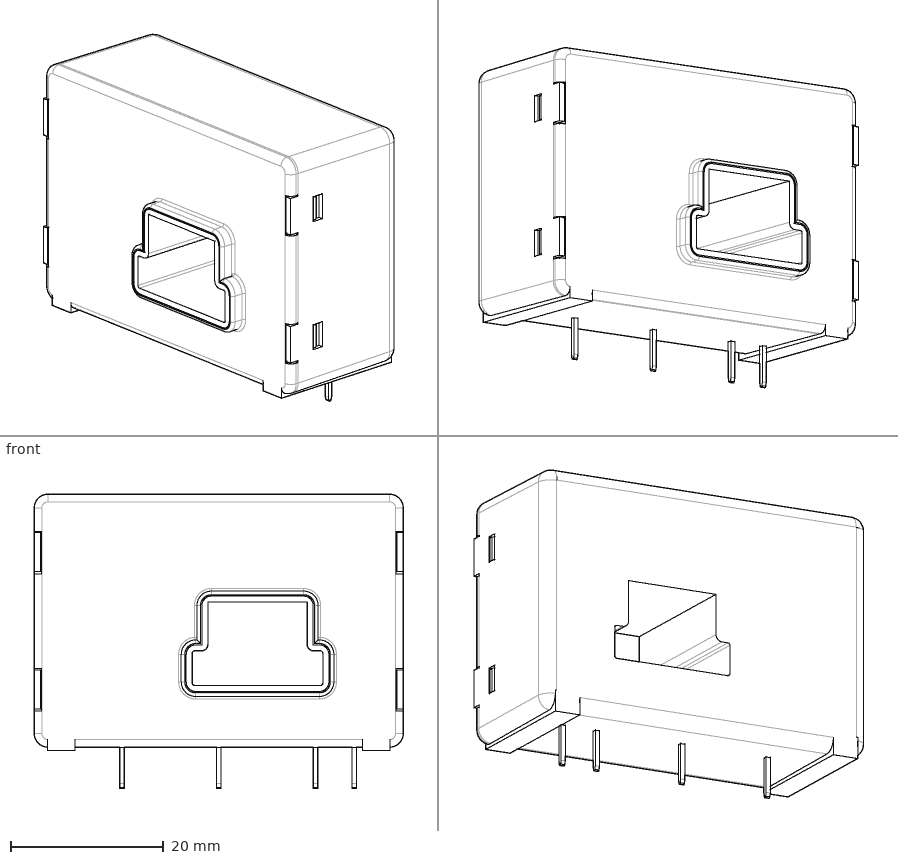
import cadquery as cq

WIDTH = 48.4
BLOCK_HEIGHT = 33.2
DEPTH = 19.4
FOOT_DROP = 0.45
MID_Z = FOOT_DROP + BLOCK_HEIGHT / 2
CORNER_RADIUS = 1.85
BACK_ROUND = 1.8
FRONT_ROUND = 1.0
COVER_BAND = 1.35
DRAFT_ANGLE = 0.5

FOOT_OUTER_X = 22.45
FOOT_WIDTH = 3.65
FOOT_HEIGHT = 2.9

COLLAR_X = 5.1
COLLAR_LENGTH = 2.0
COLLAR_BOTTOM = 7.1
COLLAR_STEP = 14.55
COLLAR_TOP = 20.9
COLLAR_LOWER_WIDTH = 20.0
COLLAR_UPPER_WIDTH = 15.9
COLLAR_RADIUS = 1.9
COLLAR_TIP_ROUND = 0.45
COLLAR_BASE_ROUND = 0.35

WINDOW_INSET = 1.45
WINDOW_STEP_RADIUS = 0.85
WINDOW_CORNER_RADIUS = 0.3
GROOVE_INSET = 0.5
GAP = 0.17

LATCH_SPACING = 18.0
TAB_HEIGHT = 5.15
TAB_THICKNESS = 0.8
GAP_ABOVE_TAB = 0.15
GAP_BELOW_TAB = 0.3
SLOT_HEIGHT = 3.5
SLOT_FRONT_Y = 4.1
SLOT_LENGTH = 1.55
SLOT_DEPTH = 0.7
BARB_RECESS = 0.2
BARB_FLAT = 0.6
BARB_END_GAP = 0.15

PIN_XS = (-12.7, 0.0, 12.7, 17.75)
PIN_Y = 12.5
PIN_SIZE = 0.65
PIN_TIP_Z = -4.95
PIN_TOP_Z = 2.9
PIN_TIP_LENGTH = 0.65
PIN_SHOULDER_LENGTH = 0.15
PIN_SHOULDER_WIDTH = 0.4
PIN_END_WIDTH = 0.15


def box(x_range, y_range, z_range):
    """Plain box between the given limits."""
    lengths = [limits[1] - limits[0] for limits in (x_range, y_range, z_range)]
    corner = (x_range[0], y_range[0], z_range[0])
    return cq.Workplane("XY").box(*lengths, centered=False).translate(corner)


def stepped_prism(inset, y_front, y_back, radius=0.0):
    """Prism along Y of the collar outline moved inwards by inset."""
    lower_half = COLLAR_LOWER_WIDTH / 2 - inset
    upper_half = COLLAR_UPPER_WIDTH / 2 - inset
    bottom = COLLAR_BOTTOM + inset
    step = COLLAR_STEP - inset
    top = COLLAR_TOP - inset
    lower = box((COLLAR_X - lower_half, COLLAR_X + lower_half), (y_front, y_back), (bottom, step))
    upper = box((COLLAR_X - upper_half, COLLAR_X + upper_half), (y_front, y_back), (bottom + radius, top))
    if radius > 0:
        lower = lower.edges("|Y").fillet(radius)
        upper = upper.edges("|Y and >Z").fillet(radius)
    return lower.union(upper)


def drafted_block():
    """Sharp-edged block that narrows from the front face to the back."""
    front = cq.Plane(origin=(0, 0, MID_Z), xDir=(1, 0, 0), normal=(0, 1, 0))
    return cq.Workplane(front).rect(WIDTH, BLOCK_HEIGHT).extrude(DEPTH, taper=DRAFT_ANGLE)


def make_block():
    """Drafted shell closed at the front by a straight band, rounded all over."""
    shell = drafted_block().edges("not(<Y or >Y)").fillet(CORNER_RADIUS)
    shell = shell.faces(">Y").edges().fillet(BACK_ROUND)
    front_slice = box((-WIDTH, WIDTH), (0, COVER_BAND), (-WIDTH, WIDTH))
    shell = shell.cut(front_slice)
    block = shell.faces("<Y").wires().toPending().workplane().extrude(COVER_BAND)
    return block.faces("<Y").edges().fillet(FRONT_ROUND)


def add_feet(body):
    """Two feet that run the full depth of the block."""
    for side in (-1, 1):
        x_ends = sorted((side * FOOT_OUTER_X, side * (FOOT_OUTER_X - FOOT_WIDTH)))
        body = body.union(box(x_ends, (0, DEPTH), (0, FOOT_HEIGHT)))
    return body


def add_collar(body):
    """Collar with a rounded tip and a small fillet where it meets the front face."""
    collar = stepped_prism(0, -COLLAR_LENGTH, COVER_BAND, COLLAR_RADIUS)
    collar = collar.faces("<Y").edges().fillet(COLLAR_TIP_ROUND)
    body = body.union(collar)
    reach = COLLAR_BASE_ROUND / 2
    near_base = cq.selectors.BoxSelector(
        (COLLAR_X - COLLAR_LOWER_WIDTH / 2 - reach, -reach, COLLAR_BOTTOM - reach),
        (COLLAR_X + COLLAR_LOWER_WIDTH / 2 + reach, reach, COLLAR_TOP + reach),
    )
    return body.edges(near_base).fillet(COLLAR_BASE_ROUND)


def cut_window(body):
    """Cut the groove around the tube, then the stepped window through everything."""
    tube_inset = GROOVE_INSET + GAP
    groove = stepped_prism(GROOVE_INSET, -COLLAR_LENGTH, COVER_BAND, COLLAR_RADIUS - GROOVE_INSET)
    tube = stepped_prism(tube_inset, -COLLAR_LENGTH, COVER_BAND, COLLAR_RADIUS - tube_inset)

    window = stepped_prism(WINDOW_INSET, -COLLAR_LENGTH, DEPTH)
    step_half = COLLAR_UPPER_WIDTH / 2 - WINDOW_INSET
    step_z = COLLAR_STEP - WINDOW_INSET
    inner_step_corners = cq.selectors.BoxSelector(
        (COLLAR_X - step_half - GAP, 0, step_z - GAP),
        (COLLAR_X + step_half + GAP, DEPTH - COLLAR_LENGTH, step_z + GAP),
    )
    window = window.edges("|Y and (<X or >X)").fillet(WINDOW_CORNER_RADIUS)
    window = window.edges(inner_step_corners).fillet(WINDOW_STEP_RADIUS)
    return body.cut(groove.cut(tube)).cut(window)


def left_notch(z):
    """Notch in the left front rim that leaves clearance around a tab."""
    z_range = (z - TAB_HEIGHT / 2 - GAP_BELOW_TAB, z + TAB_HEIGHT / 2 + GAP_ABOVE_TAB)
    return box((-WIDTH / 2, -WIDTH / 2 + TAB_THICKNESS + GAP), (0, COVER_BAND), z_range)


def left_tab(z):
    """Square-edged tab that carries the left side on to the front face."""
    z_range = (z - TAB_HEIGHT / 2, z + TAB_HEIGHT / 2)
    blank = box((-WIDTH / 2, -WIDTH / 2 + TAB_THICKNESS), (0, COVER_BAND), z_range)
    return drafted_block().intersect(blank)


def left_slot(z):
    """Snap slot in the left side, less the barb with a ramp that shows in it."""
    outer_x = -WIDTH / 2
    floor_x = outer_x + SLOT_DEPTH
    slot = box(
        (outer_x, floor_x),
        (SLOT_FRONT_Y, SLOT_FRONT_Y + SLOT_LENGTH),
        (z - SLOT_HEIGHT / 2, z + SLOT_HEIGHT / 2),
    )
    crest_x = outer_x + BARB_RECESS
    crest_y = SLOT_FRONT_Y + BARB_FLAT
    ramp_end_y = crest_y + SLOT_DEPTH - BARB_RECESS
    barb_height = SLOT_HEIGHT - 2 * BARB_END_GAP
    barb = (
        cq.Workplane("XY", origin=(0, 0, z - barb_height / 2))
        .polyline([(floor_x, SLOT_FRONT_Y), (crest_x, SLOT_FRONT_Y), (crest_x, crest_y), (floor_x, ramp_end_y)])
        .close()
        .extrude(barb_height)
    )
    return slot.cut(barb)


def add_latches(body):
    """Tabs and slots at both heights, the right side mirroring the left."""
    for z in (MID_Z - LATCH_SPACING / 2, MID_Z + LATCH_SPACING / 2):
        notch, tab, slot = left_notch(z), left_tab(z), left_slot(z)
        body = body.cut(notch).union(tab).cut(slot)
        body = body.cut(notch.mirror("YZ")).union(tab.mirror("YZ")).cut(slot.mirror("YZ"))
    return body


def make_pin(x):
    """Square pin whose front and back taper in two stages to the tip."""
    right_half = [
        (PIN_SIZE / 2, PIN_TOP_Z),
        (PIN_SIZE / 2, PIN_TIP_Z + PIN_TIP_LENGTH),
        (PIN_SHOULDER_WIDTH / 2, PIN_TIP_Z + PIN_SHOULDER_LENGTH),
        (PIN_END_WIDTH / 2, PIN_TIP_Z),
    ]
    left_half = [(-y, z) for y, z in reversed(right_half)]
    return (
        cq.Workplane("YZ", origin=(x - PIN_SIZE / 2, PIN_Y, 0))
        .polyline(right_half + left_half)
        .close()
        .extrude(PIN_SIZE)
    )


pins = [make_pin(x) for x in PIN_XS]

housing = add_latches(cut_window(add_collar(add_feet(make_block()))))
for pin in pins:
    housing = housing.cut(pin)

result = cq.Compound.makeCompound([housing.val()] + [pin.val() for pin in pins])